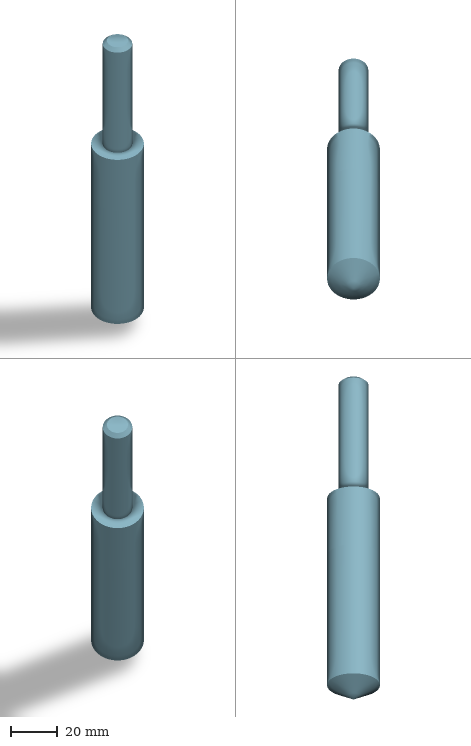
import cadquery as cq

TOTAL_LENGTH = 152.4
BODY_DIAMETER = 22.5
SHANK_DIAMETER = 12.6

CONE_HEIGHT = 6.9
JOINT_HEIGHT = 68.7
SHOULDER_HEIGHT = 96.3

BEVEL_LENGTH = 1.5
BEVEL_DEPTH = 1.8

BODY_RADIUS = BODY_DIAMETER / 2
SHANK_RADIUS = SHANK_DIAMETER / 2


def revolve_profile(points):
    """Turn a closed (radius, height) outline a full turn about the Z axis."""
    return cq.Workplane("XZ").polyline(points).close().revolve(360, (0, 0), (0, 1))


def make_pointed_tip():
    """Lower cylinder that ends in a cone point."""
    return revolve_profile([
        (0, 0),
        (BODY_RADIUS, CONE_HEIGHT),
        (BODY_RADIUS, JOINT_HEIGHT),
        (0, JOINT_HEIGHT),
    ])


def make_shank_holder():
    """Upper cylinder of the same diameter, carrying the slim bevelled shank."""
    return revolve_profile([
        (0, JOINT_HEIGHT),
        (BODY_RADIUS, JOINT_HEIGHT),
        (BODY_RADIUS, SHOULDER_HEIGHT),
        (SHANK_RADIUS, SHOULDER_HEIGHT),
        (SHANK_RADIUS, TOTAL_LENGTH - BEVEL_LENGTH),
        (SHANK_RADIUS - BEVEL_DEPTH, TOTAL_LENGTH),
        (0, TOTAL_LENGTH),
    ])


pointed_tip = make_pointed_tip()
shank_holder = make_shank_holder()

result = cq.Compound.makeCompound([pointed_tip.val(), shank_holder.val()])